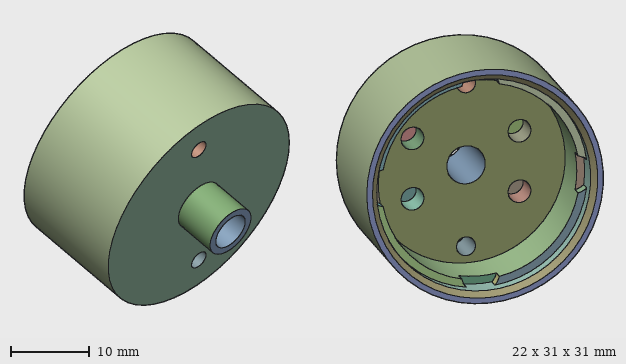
import cadquery as cq

outer_radius = 15.5
body_length = 16.0
total_length = 22.0
stub_radius = 3.5

mouth_radius = 14.0
cavity_radius = 13.0
rim_chamfer = 0.75
ledge_depth = 2.4
cavity_depth = 10.0

notch_radius = 2.5
notch_center_radius = 12.2
notch_depth = 3.95
notch_angles = (0, 90, 180, 270)

bore_radius = 2.5
small_hole_radius = 1.25
small_hole_offset = 10.8
blind_hole_radius = 1.5
blind_hole_spacing_y = 14.0
blind_hole_spacing_z = 8.0
blind_hole_depth = 4.0


def rod(radius, start, end):
    """Cylinder along X between two X positions."""
    return cq.Workplane("YZ", origin=(start, 0, 0)).circle(radius).extrude(end - start)


def make_body():
    body = rod(outer_radius, 0, body_length)
    return body.union(rod(stub_radius, 0, total_length))


def make_cavity():
    return (
        cq.Workplane("XY")
        .moveTo(0, 0)
        .lineTo(0, mouth_radius + rim_chamfer)
        .lineTo(rim_chamfer, mouth_radius)
        .lineTo(ledge_depth, mouth_radius)
        .lineTo(ledge_depth, cavity_radius)
        .lineTo(cavity_depth, cavity_radius)
        .lineTo(cavity_depth, 0)
        .close()
        .revolve(360, (0, 0, 0), (1, 0, 0))
    )


def make_notches():
    notches = cq.Workplane("YZ")
    pin = rod(notch_radius, 0, notch_depth).translate((0, notch_center_radius, 0))
    for angle in notch_angles:
        notches = notches.union(pin.rotate((0, 0, 0), (1, 0, 0), angle))
    return notches.intersect(rod(mouth_radius, 0, notch_depth))


def make_floor_holes():
    bore = rod(bore_radius, 0, total_length)
    small_holes = (
        cq.Workplane("YZ")
        .pushPoints([(0, small_hole_offset), (0, -small_hole_offset)])
        .circle(small_hole_radius)
        .extrude(body_length)
    )
    blind_holes = (
        cq.Workplane("YZ", origin=(cavity_depth, 0, 0))
        .rect(blind_hole_spacing_y, blind_hole_spacing_z, forConstruction=True)
        .vertices()
        .circle(blind_hole_radius)
        .extrude(blind_hole_depth)
    )
    return bore.union(small_holes).union(blind_holes)


result = make_body().cut(make_cavity()).cut(make_notches()).cut(make_floor_holes())